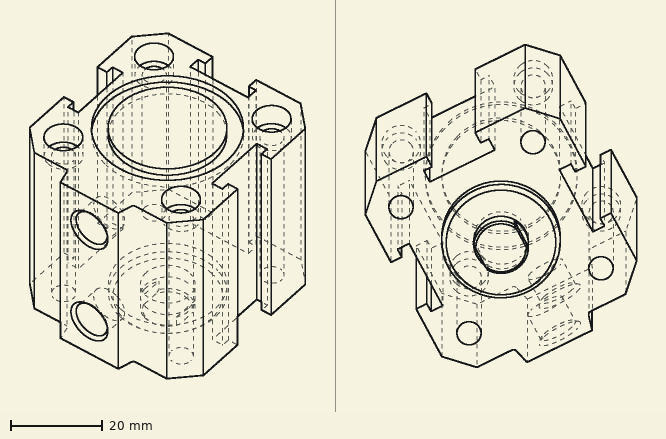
import cadquery as cq
import math

BODY_WIDTH = 48.0
BODY_HEIGHT = 47.0
CORNER_CHAMFER = 5.7
HALF_WIDTH = BODY_WIDTH / 2

PAD_HEIGHT = 4.0
PAD_TIP_WIDTH = 16.0
PAD_SLOPE = 15.0
PAD_ROOT_WIDTH = PAD_TIP_WIDTH + 2 * PAD_HEIGHT * math.tan(math.radians(PAD_SLOPE))
PAD_ROOT_FILLET = 0.8
SELECTION_MARGIN = 0.1

SLOT_MOUTH_WIDTH = 12.0
SLOT_INNER_WIDTH = 16.0
SLOT_LIP = 2.65
SLOT_DEPTH = 5.5

MOUNT_SPACING = 32.5
MOUNT_DIAMETER = 5.3
COUNTERBORE_DIAMETER = 8.5
COUNTERBORE_DEPTH = 5.5

RECESS_OUTER_DIAMETER = 33.3
RECESS_INNER_DIAMETER = 26.0
RECESS_DEPTH = 1.9

PORT_DIAMETER = 8.57
PORT_MOUTH_DIAMETER = 10.2
PORT_CHAMFER = (PORT_MOUTH_DIAMETER - PORT_DIAMETER) / 2
PORT_DEPTH = 7.0
PORT_END_OFFSET = 9.7

COLLAR_DIAMETER = 26.0
COLLAR_HEIGHT = 3.5
COLLAR_CHAMFER = 1.0

ROD_DIAMETER = 12.0
ROD_PROJECTION = 4.0
ROD_CHAMFER = 0.5
ROD_FLATS_WIDTH = 10.0
ROD_FLATS_LENGTH = 3.0
ROD_SEAT_Z = 0.0
ROD_END_Z = -COLLAR_HEIGHT - ROD_PROJECTION


def make_body_block():
    """Chamfered square block with the port pad on its -Y side."""
    block = (
        cq.Workplane("XY")
        .rect(BODY_WIDTH, BODY_WIDTH)
        .extrude(BODY_HEIGHT)
        .edges("|Z")
        .chamfer(CORNER_CHAMFER)
    )
    pad = (
        cq.Workplane("XY")
        .polyline([
            (-PAD_ROOT_WIDTH / 2, -HALF_WIDTH),
            (-PAD_TIP_WIDTH / 2, -HALF_WIDTH - PAD_HEIGHT),
            (PAD_TIP_WIDTH / 2, -HALF_WIDTH - PAD_HEIGHT),
            (PAD_ROOT_WIDTH / 2, -HALF_WIDTH),
        ])
        .close()
        .extrude(BODY_HEIGHT)
    )
    root_edges = cq.selectors.BoxSelector(
        (-PAD_ROOT_WIDTH / 2 - SELECTION_MARGIN, -HALF_WIDTH - SELECTION_MARGIN, 0),
        (PAD_ROOT_WIDTH / 2 + SELECTION_MARGIN, -HALF_WIDTH + SELECTION_MARGIN, BODY_HEIGHT),
    )
    return block.union(pad).edges("|Z").edges(root_edges).fillet(PAD_ROOT_FILLET)


def make_t_slot(angle):
    """T-slot cutter for the +X face, turned about Z by the angle."""
    mouth = cq.Workplane("XY").box(
        SLOT_DEPTH, SLOT_MOUTH_WIDTH, BODY_HEIGHT, centered=(False, True, False)
    )
    inner = cq.Workplane("XY").box(
        SLOT_DEPTH - SLOT_LIP, SLOT_INNER_WIDTH, BODY_HEIGHT, centered=(False, True, False)
    )
    slot = mouth.union(inner).translate((HALF_WIDTH - SLOT_DEPTH, 0, 0))
    return slot.rotate((0, 0, 0), (0, 0, 1), angle)


def make_recess():
    """Ring cutter for the top face; its central island stays level with that face."""
    return (
        cq.Workplane("XY")
        .workplane(offset=BODY_HEIGHT - RECESS_DEPTH)
        .circle(RECESS_OUTER_DIAMETER / 2)
        .circle(RECESS_INNER_DIAMETER / 2)
        .extrude(RECESS_DEPTH)
    )


def make_port(z):
    """Blind round port cutter with a chamfered mouth, entering the pad along +Y."""
    profile = [
        (0, 0),
        (PORT_MOUTH_DIAMETER / 2, 0),
        (PORT_DIAMETER / 2, PORT_CHAMFER),
        (PORT_DIAMETER / 2, PORT_DEPTH),
        (0, PORT_DEPTH),
    ]
    port = cq.Workplane("XY").polyline(profile).close().revolve(360, (0, 0), (0, 1))
    return port.translate((0, -HALF_WIDTH - PAD_HEIGHT, z))


def make_collar():
    """Round collar under the body, chamfered at its lower rim."""
    return (
        cq.Workplane("XY")
        .circle(COLLAR_DIAMETER / 2)
        .extrude(-COLLAR_HEIGHT)
        .faces("<Z")
        .chamfer(COLLAR_CHAMFER)
    )


def make_rod_blank():
    """Plain round rod, also the cutter for its seat in the housing."""
    return (
        cq.Workplane("XY")
        .workplane(offset=ROD_END_Z)
        .circle(ROD_DIAMETER / 2)
        .extrude(ROD_SEAT_Z - ROD_END_Z)
    )


def make_housing():
    """Cylinder housing with its slots, holes, ports, recess, collar and rod seat."""
    housing = make_body_block()
    for angle in (0, 90, 180):
        housing = housing.cut(make_t_slot(angle))
    housing = (
        housing.faces(">Z")
        .workplane(origin=(0, 0, BODY_HEIGHT))
        .rect(MOUNT_SPACING, MOUNT_SPACING, forConstruction=True)
        .vertices()
        .cboreHole(MOUNT_DIAMETER, COUNTERBORE_DIAMETER, COUNTERBORE_DEPTH)
    )
    housing = housing.cut(make_recess())
    for z in (PORT_END_OFFSET, BODY_HEIGHT - PORT_END_OFFSET):
        housing = housing.cut(make_port(z))
    return housing.union(make_collar()).cut(make_rod_blank())


def make_piston_rod():
    """Rod with a chamfered lower end and two wrench flats facing -X and +X."""
    rod = make_rod_blank().faces("<Z").chamfer(ROD_CHAMFER)
    flat_depth = (ROD_DIAMETER - ROD_FLATS_WIDTH) / 2
    for side in (-1, 1):
        flat_cutter = (
            cq.Workplane("XY")
            .box(flat_depth, ROD_DIAMETER, ROD_FLATS_LENGTH, centered=(True, True, False))
            .translate((side * (ROD_FLATS_WIDTH + flat_depth) / 2, 0, ROD_END_Z))
        )
        rod = rod.cut(flat_cutter)
    return rod


housing = make_housing()
piston_rod = make_piston_rod()

result = cq.Compound.makeCompound([housing.val(), piston_rod.val()])